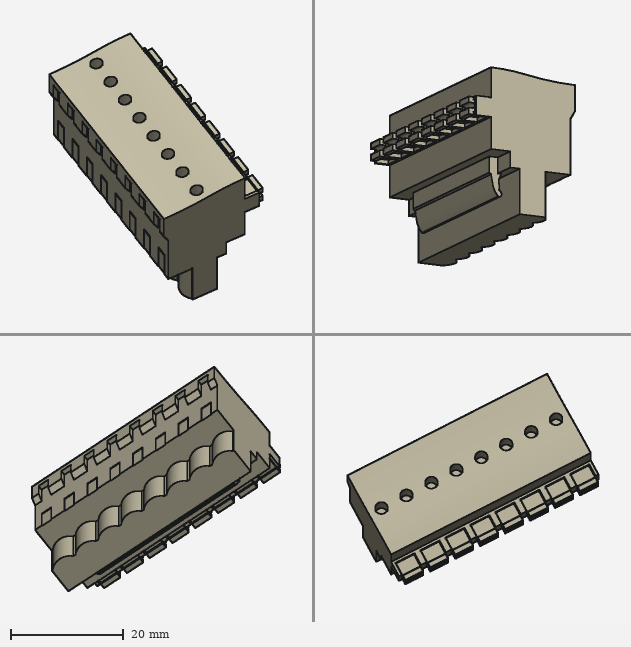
import cadquery as cq


POLES = 8
LENGTH = 40.0
PITCH = LENGTH / POLES
POLE_CENTRES = [(i - (POLES - 1) / 2) * PITCH for i in range(POLES)]

BACK_Y = 16.7
BACK_Z = 26.25
BEND_Y = 9.85
BEND_Z = 25.7
FRONT_Z = 24.85
OVERHANG_Z = 20.1
LOWER_FRONT_Y = 0.9
SLOPE_END_Z = 18.55
BODY_BOTTOM_Z = 8.3
STEP_Y = 12.9
STEP_Z = 11.3

SHELF_Y = 19.7
SHELF_BOTTOM_Z = 17.15
SHELF_TOP_Z = 20.7
POCKET_WIDTH = 3.85
POCKET_FRONT_Y = 17.25

PLUG_FRONT_Y = 5.9
PLUG_BACK_Y = 11.0
RIB_FRONT_Y = 4.95
RIB_WIDTH = 4.5

SLOT_WIDTH = 2.1
SLOT_TOP_Z = 23.3
RECESS_TOP_Z = 13.3
RECESS_DEPTH = 0.1

HOLE_DIAMETER = 2.25
HOLE_Y = 8.25
HOLE_FLOOR_Z = 20.8

LATCH_LENGTH = LENGTH - 2 * PITCH
LATCH_BACK_Y = 14.55
LATCH_ROOT_Y = 12.2
LATCH_SHOULDER = (14.2, 8.05)
LATCH_BEND = (13.8, 5.9)
LATCH_BEND_MIDDLE = (13.4, 4.95)
LATCH_TIP_START = (12.8, 4.15)
LATCH_TIP_MIDDLE = (12.3, 4.2)
LATCH_TIP_END = (12.3, 5.05)
LATCH_THROAT_BOTTOM = (12.6, 5.4)
LATCH_THROAT_TOP = (12.65, 7.3)

BUTTON_WIDTH = 3.6
BUTTON_BACK_Y = 20.8
BUTTON_BOTTOM_Z = 17.4
BUTTON_TOP_Z = 20.6
BUTTON_HEAD_Y = 19.8
BUTTON_STEP = 0.5
NOTCH_HEIGHT = 1.0
NOTCH_CENTRE_Y = 20.1
NOTCH_CENTRE_Z = 19.05


def span_box(x_centre, width, y_range, z_range):
    """A box centred on x_centre and filling the given Y and Z ranges."""
    return cq.Workplane("XY").box(
        width, y_range[1] - y_range[0], z_range[1] - z_range[0], centered=(True, False, False)
    ).translate((x_centre, y_range[0], z_range[0]))


def level_arc_radius(run, drop):
    """Radius of an arc that is level at one end and falls by drop over the horizontal run."""
    return (run**2 + drop**2) / (2 * drop)


def make_body():
    """Main block with an S-curved top, a back shelf and a back step."""
    return (
        cq.Workplane("YZ")
        .moveTo(0, OVERHANG_Z)
        .lineTo(LOWER_FRONT_Y, SLOPE_END_Z)
        .lineTo(LOWER_FRONT_Y, BODY_BOTTOM_Z)
        .lineTo(STEP_Y, BODY_BOTTOM_Z)
        .lineTo(STEP_Y, STEP_Z)
        .lineTo(BACK_Y, STEP_Z)
        .lineTo(BACK_Y, SHELF_BOTTOM_Z)
        .lineTo(SHELF_Y, SHELF_BOTTOM_Z)
        .lineTo(SHELF_Y, SHELF_TOP_Z)
        .lineTo(BACK_Y, SHELF_TOP_Z)
        .lineTo(BACK_Y, BACK_Z)
        .radiusArc((BEND_Y, BEND_Z), -level_arc_radius(BACK_Y - BEND_Y, BACK_Z - BEND_Z))
        .radiusArc((0, FRONT_Z), level_arc_radius(BEND_Y, BEND_Z - FRONT_Z))
        .close()
        .extrude(LENGTH / 2, both=True)
    )


def make_plug():
    """Straight plug below the body, with a rounded rib along its front for each pole."""
    plug = span_box(0, LENGTH, (PLUG_FRONT_Y, PLUG_BACK_Y), (0, BODY_BOTTOM_Z))
    for x in POLE_CENTRES:
        rib = (
            cq.Workplane("XY")
            .moveTo(x - RIB_WIDTH / 2, PLUG_FRONT_Y)
            .threePointArc((x, RIB_FRONT_Y), (x + RIB_WIDTH / 2, PLUG_FRONT_Y))
            .lineTo(x + RIB_WIDTH / 2, PLUG_BACK_Y)
            .lineTo(x - RIB_WIDTH / 2, PLUG_BACK_Y)
            .close()
            .extrude(BODY_BOTTOM_Z)
        )
        plug = plug.union(rib)
    return plug


def make_latch():
    """Hooked latch strip that hangs from the corner of the back step."""
    return (
        cq.Workplane("YZ")
        .moveTo(STEP_Y, STEP_Z)
        .lineTo(LATCH_BACK_Y, STEP_Z)
        .lineTo(LATCH_BACK_Y, BODY_BOTTOM_Z)
        .lineTo(*LATCH_SHOULDER)
        .lineTo(*LATCH_BEND)
        .threePointArc(LATCH_BEND_MIDDLE, LATCH_TIP_START)
        .threePointArc(LATCH_TIP_MIDDLE, LATCH_TIP_END)
        .lineTo(*LATCH_THROAT_BOTTOM)
        .lineTo(*LATCH_THROAT_TOP)
        .lineTo(LATCH_ROOT_Y, BODY_BOTTOM_Z)
        .lineTo(STEP_Y, BODY_BOTTOM_Z)
        .close()
        .extrude(LATCH_LENGTH / 2, both=True)
    )


def make_pole_cuts(x):
    """All pockets that repeat at each pole."""
    slot = span_box(x, SLOT_WIDTH, (0, LOWER_FRONT_Y), (SLOPE_END_Z, SLOT_TOP_Z))
    recess = span_box(
        x, SLOT_WIDTH, (LOWER_FRONT_Y, LOWER_FRONT_Y + RECESS_DEPTH), (BODY_BOTTOM_Z, RECESS_TOP_Z)
    )
    pocket = span_box(x, POCKET_WIDTH, (POCKET_FRONT_Y, SHELF_Y), (SHELF_BOTTOM_Z, SHELF_TOP_Z))
    hole = (
        cq.Workplane("XY", origin=(x, HOLE_Y, HOLE_FLOOR_Z))
        .circle(HOLE_DIAMETER / 2)
        .extrude(BACK_Z - HOLE_FLOOR_Z)
    )
    return [slot, recess, pocket, hole]


def make_housing():
    """The complete housing with the pockets of every pole cut out."""
    housing = make_body().union(make_plug()).union(make_latch())
    for x in POLE_CENTRES:
        for cut in make_pole_cuts(x):
            housing = housing.cut(cut)
    return housing


def make_button(x):
    """T-shaped button: a stem in the shelf pocket and a taller head with a round-ended notch."""
    stem = span_box(
        x,
        BUTTON_WIDTH,
        (POCKET_FRONT_Y, BUTTON_HEAD_Y),
        (BUTTON_BOTTOM_Z + BUTTON_STEP, BUTTON_TOP_Z - BUTTON_STEP),
    )
    head = span_box(x, BUTTON_WIDTH, (BUTTON_HEAD_Y, BUTTON_BACK_Y), (BUTTON_BOTTOM_Z, BUTTON_TOP_Z))
    notch = span_box(
        x,
        BUTTON_WIDTH,
        (NOTCH_CENTRE_Y, BUTTON_BACK_Y),
        (NOTCH_CENTRE_Z - NOTCH_HEIGHT / 2, NOTCH_CENTRE_Z + NOTCH_HEIGHT / 2),
    )
    notch_end = (
        cq.Workplane("YZ", origin=(x, NOTCH_CENTRE_Y, NOTCH_CENTRE_Z))
        .circle(NOTCH_HEIGHT / 2)
        .extrude(BUTTON_WIDTH / 2, both=True)
    )
    return stem.union(head).cut(notch).cut(notch_end)


housing = make_housing()
buttons = [make_button(x) for x in POLE_CENTRES]

result = cq.Compound.makeCompound([housing.val(), *[button.val() for button in buttons]])